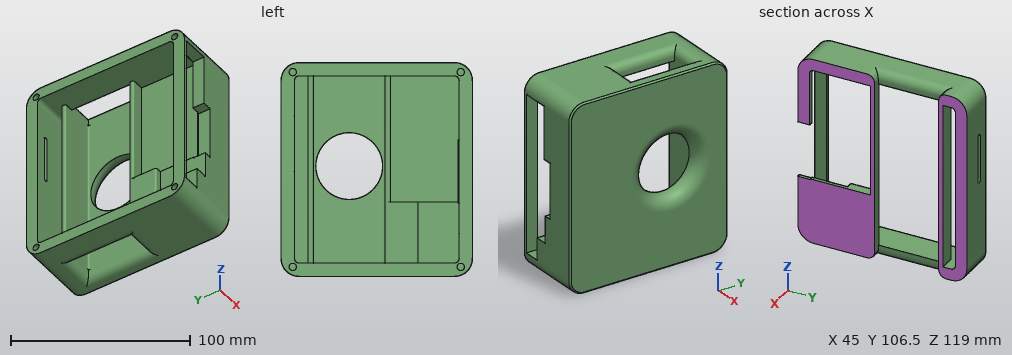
import cadquery as cq

DEPTH, WIDTH, HEIGHT = 45.0, 106.5, 119
CORNER_R = 10.0
EDGE_R = 1.0
RIM_CHAMFER = 1.0
WALL = 7.5
CAVITY_DEPTH = 35.0

RIB_START = 15.0
RIB_WIDTH = 3.0
CHANNEL_WIDTH = 40.0
CHANNEL_START = RIB_START + RIB_WIDTH
CHANNEL_END = CHANNEL_START + CHANNEL_WIDTH
RIDGE_END = CHANNEL_END + RIB_WIDTH
BLOCK_END = 76.2
CAVITY_END = WIDTH - WALL

RIB_FRONT = 12.4
RIDGE_FRONT = 16.5
LEDGE_FRONT = 20.6
POCKET_FLOOR = 24.4
BLOCK_TOP = 41.4

HOLE_D = 37.0
HOLE_Z = 61.4
HOLE_FLARE_R = 8.0
WINDOW_START = 18.3
WINDOW_FLARE_R = 5.0
SLOT_X, SLOT_Z = 8.1, 73.8
SLOT_LENGTH, SLOT_WIDTH = 30.9, 2.9
SCREW_D, SCREW_DEPTH = 4.0, 10.0
SCREW_INSET_Y, SCREW_INSET_Z = 6.5, 5.4

LIP = 2.0
SIDE_CUT_OVERRUN = 0.5
SIDE_CUT_DEPTH = WALL + SIDE_CUT_OVERRUN
SIDE_STEPS = [
    (CORNER_R, 23.9, 12.5),
    (23.9, 40.9, 20.6),
    (40.9, 75.8, 25.3),
    (75.8, HEIGHT - CORNER_R, 19.3),
]

MARGIN = 0.1


def block(x_span, station_span, z_span):
    """Box between two depths, two stations from the +Y side and two heights."""
    x0, x1 = x_span
    s0, s1 = station_span
    z0, z1 = z_span
    solid = cq.Workplane("XY").box(x1 - x0, s1 - s0, z1 - z0, centered=False)
    return solid.translate((x0, WIDTH - s1, z0))


def edges_near(x_span, station_span, z_span):
    """Selector for edges whose centre lies in a region, allowing a small margin around it."""
    x0, x1 = x_span
    s0, s1 = station_span
    z0, z1 = z_span
    low = (x0 - MARGIN, WIDTH - s1 - MARGIN, z0 - MARGIN)
    high = (x1 + MARGIN, WIDTH - s0 + MARGIN, z1 + MARGIN)
    return cq.selectors.BoxSelector(low, high)


def filler(front, station_span, top=HEIGHT - WALL):
    """Solid standing on the cavity floor, from the given front face to the back of the cavity."""
    return block((front, CAVITY_DEPTH), station_span, (WALL, top))


def rounded_filler(front, station_span, top=HEIGHT - WALL):
    """Filler with its two upright front edges rounded."""
    return filler(front, station_span, top).faces("<X").edges("|Z").fillet(EDGE_R)


case = block((0, DEPTH), (0, WIDTH), (0, HEIGHT)).edges("|X").fillet(CORNER_R)
case = case.faces(">X").edges().chamfer(RIM_CHAMFER)
cavity = block((0, CAVITY_DEPTH), (WALL, CAVITY_END), (WALL, HEIGHT - WALL))
case = case.cut(cavity.edges("|X").fillet(CORNER_R - WALL))

case = case.union(rounded_filler(RIB_FRONT, (RIB_START, CHANNEL_START)))
case = case.union(rounded_filler(RIDGE_FRONT, (CHANNEL_END, RIDGE_END)))
case = case.union(rounded_filler(RIDGE_FRONT, (CHANNEL_END, BLOCK_END), BLOCK_TOP))
case = case.union(filler(POCKET_FLOOR, (RIDGE_END, CAVITY_END)))
case = case.union(filler(LEDGE_FRONT, (BLOCK_END, CAVITY_END), BLOCK_TOP))

for station in (CHANNEL_START, CHANNEL_END):
    corner = edges_near((CAVITY_DEPTH, CAVITY_DEPTH), (station, station), (WALL, HEIGHT - WALL))
    case = case.edges(corner).fillet(EDGE_R)

window_x = (WINDOW_START, CAVITY_DEPTH)
channel = (CHANNEL_START, CHANNEL_END)
for z_span, outer_z in (((HEIGHT - WALL, HEIGHT), HEIGHT), ((0, WALL), 0)):
    case = case.cut(block(window_x, channel, z_span))
    rim = edges_near(window_x, channel, (outer_z, outer_z))
    case = case.edges(rim).fillet(WINDOW_FLARE_R)

hole_station = (CHANNEL_START + CHANNEL_END) / 2
hole = cq.Workplane("YZ").center(WIDTH - hole_station, HOLE_Z).circle(HOLE_D / 2).extrude(DEPTH)
case = case.cut(hole)
hole_rim = edges_near((DEPTH, DEPTH), (hole_station, hole_station), (HOLE_Z, HOLE_Z))
case = case.edges(hole_rim).fillet(HOLE_FLARE_R)

for bottom, top, far in SIDE_STEPS:
    case = case.cut(block((LIP, far), (WIDTH - SIDE_CUT_DEPTH, WIDTH), (bottom, top)))

slot = cq.Workplane("XZ").center(SLOT_X, SLOT_Z).slot2D(SLOT_LENGTH, SLOT_WIDTH, 90).extrude(-WALL)
case = case.cut(slot.translate((0, WIDTH - WALL, 0)))

screws = (
    cq.Workplane("YZ")
    .center(WIDTH / 2, HEIGHT / 2)
    .rect(WIDTH - 2 * SCREW_INSET_Y, HEIGHT - 2 * SCREW_INSET_Z, forConstruction=True)
    .vertices()
    .circle(SCREW_D / 2)
    .extrude(SCREW_DEPTH)
)
result = case.cut(screws)